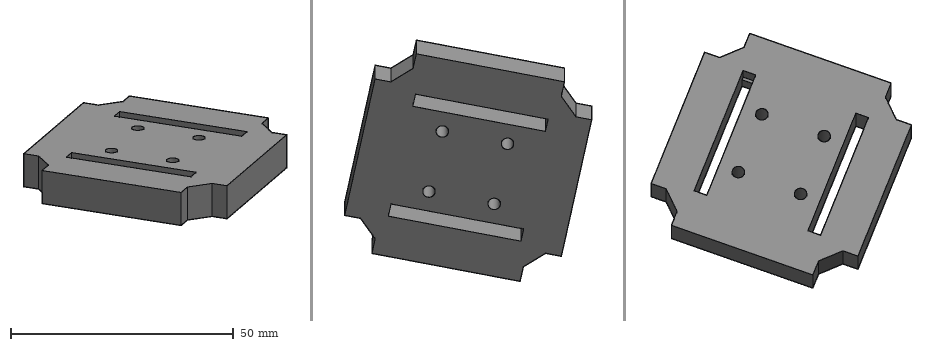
import cadquery as cq

side = 49.8
thickness = 8.0
arm_width = 34.05
corner_chamfer = 4.25

slot_length = 30.5
slot_width = 3.05
slot_offset = 13.7
ledge_length = 0.7
ledge_depth = thickness / 2

hole_diameter = 2.8
hole_spacing = 15.0


def make_plate():
    """Square plate, centred in X and Y, with a chamfered notch at each corner."""
    half_side = side / 2
    half_arm = arm_width / 2
    chamfer_end = half_arm + corner_chamfer
    outline = []
    corner = [
        (half_side, half_arm),
        (chamfer_end, half_arm),
        (half_arm, chamfer_end),
        (half_arm, half_side),
    ]
    for _ in range(4):
        outline += corner
        corner = [(-y, x) for x, y in corner]
    return cq.Workplane("XY").polyline(outline).close().extrude(thickness)


def cut_slots(body):
    """Two through slots; the +Y one has a ledge at its +X end."""
    body = (
        body.faces(">Z").workplane(origin=(0, 0, thickness))
        .pushPoints([(0, slot_offset), (0, -slot_offset)])
        .rect(slot_length, slot_width)
        .cutThruAll()
    )
    return (
        body.faces(">Z").workplane(origin=(0, 0, thickness))
        .center(ledge_length / 2, slot_offset)
        .rect(slot_length + ledge_length, slot_width)
        .cutBlind(-ledge_depth)
    )


def cut_holes(body):
    """Square pattern of four through holes."""
    return (
        body.faces(">Z").workplane(origin=(0, 0, thickness))
        .rarray(hole_spacing, hole_spacing, 2, 2)
        .hole(hole_diameter)
    )


result = cut_holes(cut_slots(make_plate()))